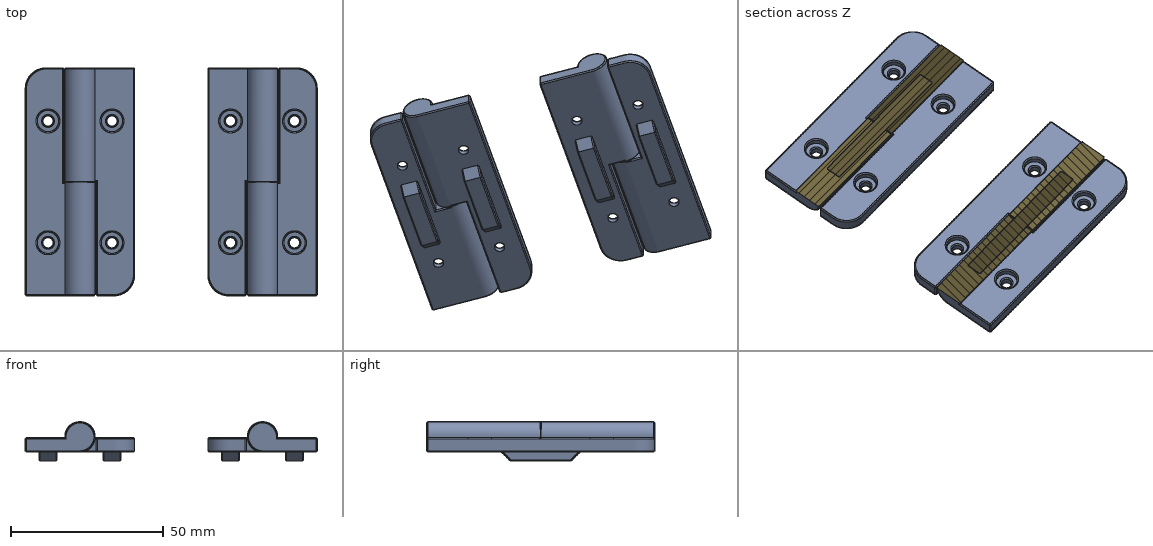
import cadquery as cq

total_width = 96.0
hinge_length = 75.0
hinge_width = 36.0
hinge_spacing = total_width - hinge_width
half_length = hinge_length / 2
half_width = hinge_width / 2

plate_thickness = 4.7
corner_radius = 6.9
edge_chamfer = 0.4
knuckle_diameter = 10.0
knuckle_radius = knuckle_diameter / 2
knuckle_clearance = 0.3
joint_gap = 0.2
notch_wall_x = -(knuckle_radius + knuckle_clearance)
joint_face_y = -joint_gap / 2

hole_spacing_x = 21.0
hole_spacing_y = 40.0
hole_x = -hole_spacing_x / 2
screw_hole_radius = 3.4 / 2
head_recess_radius = 7.0 / 2
head_recess_depth = 2.2
hole_chamfer = 0.43

key_width = 6.0
key_height = 3.0
key_top_length = 25.9
key_bottom_length = key_top_length - 2 * key_height

pin_diameter = 5.0
pin_length = 48.0


def cylinder_on_axis(diameter, start, end):
    """Cylinder on the knuckle axis from Y = start to Y = end."""
    return (
        cq.Workplane("XZ", origin=(0, start, knuckle_radius))
        .circle(diameter / 2)
        .extrude(start - end)
    )


def make_plate():
    """Chamfered leaf plate, notched towards +Y to clear the other leaf's knuckle."""
    plate = (
        cq.Workplane("XY")
        .moveTo(-half_width, -half_length)
        .lineTo(0, -half_length)
        .lineTo(0, joint_face_y)
        .lineTo(notch_wall_x, joint_face_y)
        .lineTo(notch_wall_x, half_length)
        .lineTo(-half_width + corner_radius, half_length)
        .radiusArc((-half_width, half_length - corner_radius), -corner_radius)
        .close()
        .extrude(plate_thickness)
    )
    rim_edges = plate.faces("<Z or >Z").edges("not >X")
    outer_front_corner = plate.edges("|Z").edges("<Y").edges("<X")
    notch_back_corner = plate.edges("|Z").edges(">Y").edges(">X")
    return rim_edges.add(outer_front_corner).add(notch_back_corner).chamfer(edge_chamfer)


def make_knuckle():
    """Half of the hinge barrel, chamfered at its outer end."""
    knuckle = cylinder_on_axis(knuckle_diameter, -half_length, joint_face_y)
    return knuckle.faces("<Y").chamfer(edge_chamfer)


def make_key():
    """Trapezoidal locating key with chamfered long sides."""
    return (
        cq.Workplane("YZ", origin=(hole_x - key_width / 2, 0, 0))
        .polyline([
            (-key_top_length / 2, 0),
            (key_top_length / 2, 0),
            (key_bottom_length / 2, -key_height),
            (-key_bottom_length / 2, -key_height),
        ])
        .close()
        .extrude(key_width)
        .faces("<X or >X")
        .edges("not >Z")
        .chamfer(edge_chamfer)
    )


def make_hole_cutter():
    """Counterbored screw hole with both upper rims chamfered, on the Z axis."""
    recess_floor = plate_thickness - head_recess_depth
    return (
        cq.Workplane("XZ")
        .polyline([
            (0, 0),
            (screw_hole_radius, 0),
            (screw_hole_radius, recess_floor - hole_chamfer),
            (screw_hole_radius + hole_chamfer, recess_floor),
            (head_recess_radius, recess_floor),
            (head_recess_radius, plate_thickness - hole_chamfer),
            (head_recess_radius + hole_chamfer, plate_thickness),
            (0, plate_thickness),
        ])
        .close()
        .revolve(360, (0, 0), (0, 1))
    )


def make_leaf():
    """Leaf on the -X side, carrying the knuckle half on the -Y side."""
    bore = cylinder_on_axis(pin_diameter, -pin_length / 2, 0)
    leaf = make_plate().union(make_knuckle()).union(make_key()).cut(bore)
    hole_cutter = make_hole_cutter()
    for hole_y in (-hole_spacing_y / 2, hole_spacing_y / 2):
        leaf = leaf.cut(hole_cutter.translate((hole_x, hole_y, 0)))
    return leaf


def make_pin():
    """Plain hinge pin joining the two knuckles."""
    return cylinder_on_axis(pin_diameter, -pin_length / 2, pin_length / 2)


left_leaf = make_leaf()
right_leaf = left_leaf.rotate((0, 0, 0), (0, 0, 1), 180)
pin = make_pin()

bodies = []
for body in (left_leaf, right_leaf, pin):
    left_hinge_body = body.translate((-hinge_spacing / 2, 0, 0))
    right_hinge_body = left_hinge_body.mirror("YZ")
    bodies.append(left_hinge_body.solids().val())
    bodies.append(right_hinge_body.solids().val())

result = cq.Compound.makeCompound(bodies)